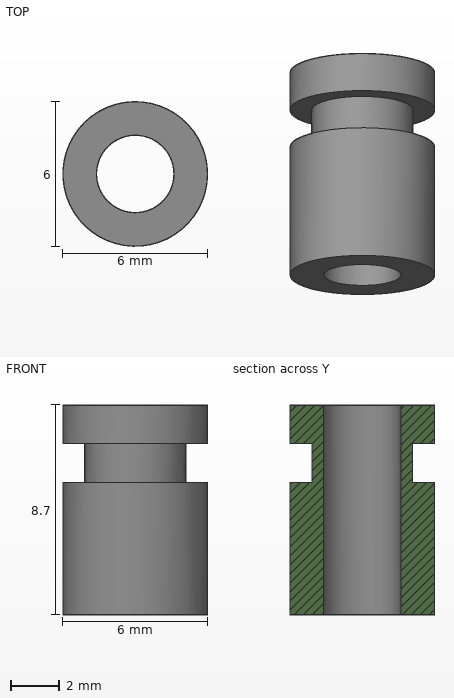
import cadquery as cq

total_height = 8.7
outer_diameter = 6.0

bore_diameter = 3.2
neck_diameter = 4.2

flange_height = 1.6
neck_height = 1.6
body_height = total_height - flange_height - neck_height


def ring_section(diameter, bottom, height):
    """Tube around the Z axis with the common bore."""
    return (
        cq.Workplane("XY", origin=(0, 0, bottom))
        .circle(diameter / 2)
        .circle(bore_diameter / 2)
        .extrude(height)
    )


body = ring_section(outer_diameter, 0, body_height)
neck = ring_section(neck_diameter, body_height, neck_height)
flange = ring_section(outer_diameter, body_height + neck_height, flange_height)

result = body.union(neck).union(flange)